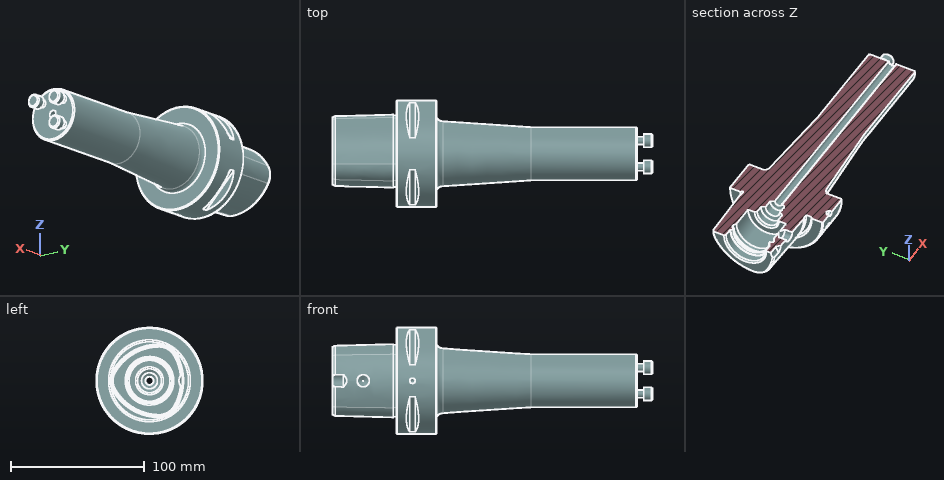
import cadquery as cq
import math

TOTAL_LENGTH = 239.5

POLYGON_LENGTH = 45.5
LOBE_CENTER_RADIUS = 14.5
LOBE_TIP_RADIUS = 29.5
LOBE_COUNT = 3
LOBE_ARC_HALF_ANGLE = 30.0
POLYGON_TAPER = 1.5
POLYGON_CHAMFER_LENGTH = 2.0
POLYGON_CHAMFER_DEPTH = 1.0
RELIEF_OFFSET = 0.5

FLANGE_X = 47.9
FLANGE_LENGTH = 30.2
FLANGE_RADIUS = 80.0 / 2
FLANGE_CHAMFER = 0.7
RECESS_RADIUS = 30.6
RECESS_DEPTH = 1.5
FLANGE_END_X = FLANGE_X + FLANGE_LENGTH
RECESS_FLOOR_X = FLANGE_X + RECESS_DEPTH

NECK_X = 82.4
NECK_RADIUS = 24.5
NECK_FILLET_RADIUS = 26.8
SHANK_X = 148.5
SHANK_RADIUS = 40.0 / 2
SHANK_END_X = 228.0
SHANK_CHAMFER = 1.0

BORE_MOUTH_RADIUS = 18.2
BORE_ENTRY_RADIUS = 17.0
BORE_STEP_X = 7.7
BORE_STEP_RADIUS = 16.5
BORE_LIP_RADIUS = 15.3
BORE_GROOVE_X = 10.5
BORE_GROOVE_RADIUS = 17.5
BORE_GROOVE_END_X = 13.2
BORE_GROOVE_CONE_LENGTH = 2.5
BORE_RADIUS = 32.0 / 2
BORE_DEPTH = 33.5
WELL_MOUTH_RADIUS = 20.8 / 2
WELL_RADIUS = 18.0 / 2
WELL_DEPTH = 7.2
PASSAGE_RADIUS = 12.0 / 2
PASSAGE_LENGTH = 7.2
COOLANT_RADIUS = 6.0 / 2
DRILL_TIP_ANGLE = 118.0

SLOT_X = 59.8
SLOT_COUNT = 4
SLOT_FIRST_ANGLE = 45.0
SLOT_FLOOR_RADIUS = 35.5
SLOT_FLOOR_WIDTH = 3.8
SLOT_WALL_ANGLE = 31.0

INDEX_HOLE_RADIUS = 4.0 / 2
INDEX_HOLE_DEPTH = 2.5
SIDE_HOLE_RADIUS = 9.0 / 2
SIDE_HOLE_X = 23.0
SIDE_HOLE_FLOOR_RADIUS = 18.7
KEYWAY_RADIUS = 12.0 / 2
KEYWAY_LENGTH = 8.1
KEYWAY_AXIS_RADIUS = 28.0
KEYWAY_TIP_ANGLE = 90.0

SCREW_OFFSET = 9.8
SCREW_CORNERS = [(1, 1), (-1, 1), (1, -1)]
SCREW_RADIUS = 6.0 / 2
SCREW_DEPTH = 9.5
SCREW_HEAD_RADIUS = 10.0 / 2
SCREW_HEAD_X = 232.7
SCREW_HEAD_CHAMFER = 1.0

CUT_MARGIN = 2.5


def drill_tip_length(radius, tip_angle):
    return radius / math.tan(math.radians(tip_angle / 2))


def polar(radius, degrees, center=(0, 0)):
    angle = math.radians(degrees)
    return (center[0] + radius * math.cos(angle), center[1] + radius * math.sin(angle))


def lobed_outline(x, tip_radius):
    """Rounded Reuleaux triangle in the plane at x, whose normal points toward -X."""
    lobe_radius = tip_radius - LOBE_CENTER_RADIUS
    flat_radius = LOBE_CENTER_RADIUS * (math.sqrt(3) - 1) + lobe_radius
    step = 360 / LOBE_COUNT

    def lobe_end(lobe, side):
        angle = lobe * step
        return polar(lobe_radius, angle + side * LOBE_ARC_HALF_ANGLE, polar(LOBE_CENTER_RADIUS, angle))

    outline = cq.Workplane(cq.Plane((x, 0, 0), xDir=(0, 1, 0), normal=(-1, 0, 0)))
    outline = outline.moveTo(*lobe_end(0, -1))
    for lobe in range(LOBE_COUNT):
        outline = outline.threePointArc(polar(tip_radius, lobe * step), lobe_end(lobe, 1))
        outline = outline.threePointArc(polar(flat_radius, (lobe + 0.5) * step), lobe_end(lobe + 1, -1))
    return outline.close()


def polygon_shank():
    taper = lobed_outline(POLYGON_LENGTH, LOBE_TIP_RADIUS).extrude(POLYGON_LENGTH, taper=POLYGON_TAPER)
    taper = taper.faces("<X").chamfer(POLYGON_CHAMFER_LENGTH, POLYGON_CHAMFER_DEPTH)
    relief = lobed_outline(RECESS_FLOOR_X, LOBE_TIP_RADIUS - RELIEF_OFFSET)
    return taper.union(relief.extrude(RECESS_FLOOR_X - POLYGON_LENGTH))


def revolve_about_x(profile):
    return profile.close().revolve(360, (0, 0, 0), (1, 0, 0))


def flange_and_shank():
    profile = (
        cq.Workplane("XY")
        .moveTo(RECESS_FLOOR_X, 0)
        .lineTo(SHANK_END_X, 0)
        .lineTo(SHANK_END_X, SHANK_RADIUS - SHANK_CHAMFER)
        .lineTo(SHANK_END_X - SHANK_CHAMFER, SHANK_RADIUS)
        .lineTo(SHANK_X, SHANK_RADIUS)
        .lineTo(NECK_X, NECK_RADIUS)
        .tangentArcPoint((FLANGE_END_X, NECK_FILLET_RADIUS), relative=False)
        .lineTo(FLANGE_END_X, FLANGE_RADIUS - FLANGE_CHAMFER)
        .lineTo(FLANGE_END_X - FLANGE_CHAMFER, FLANGE_RADIUS)
        .lineTo(FLANGE_X + FLANGE_CHAMFER, FLANGE_RADIUS)
        .lineTo(FLANGE_X, FLANGE_RADIUS - FLANGE_CHAMFER)
        .lineTo(FLANGE_X, RECESS_RADIUS)
        .lineTo(RECESS_FLOOR_X, RECESS_RADIUS - RECESS_DEPTH)
    )
    return revolve_about_x(profile)


def bore():
    groove_depth = BORE_GROOVE_RADIUS - BORE_LIP_RADIUS
    groove_wall_middle = polar(groove_depth, 135, (BORE_GROOVE_X + groove_depth, BORE_LIP_RADIUS))
    well_chamfer = WELL_MOUTH_RADIUS - WELL_RADIUS
    well_floor_x = BORE_DEPTH + WELL_DEPTH
    passage_x = well_floor_x + drill_tip_length(WELL_RADIUS - PASSAGE_RADIUS, DRILL_TIP_ANGLE)
    passage_end_x = passage_x + PASSAGE_LENGTH
    coolant_x = passage_end_x + drill_tip_length(PASSAGE_RADIUS - COOLANT_RADIUS, DRILL_TIP_ANGLE)
    profile = (
        cq.Workplane("XY")
        .lineTo(0, BORE_MOUTH_RADIUS)
        .lineTo(BORE_MOUTH_RADIUS - BORE_ENTRY_RADIUS, BORE_ENTRY_RADIUS)
        .lineTo(BORE_STEP_X, BORE_ENTRY_RADIUS)
        .lineTo(BORE_STEP_X, BORE_STEP_RADIUS)
        .lineTo(BORE_STEP_X + BORE_STEP_RADIUS - BORE_LIP_RADIUS, BORE_LIP_RADIUS)
        .lineTo(BORE_GROOVE_X, BORE_LIP_RADIUS)
        .threePointArc(groove_wall_middle, (BORE_GROOVE_X + groove_depth, BORE_GROOVE_RADIUS))
        .lineTo(BORE_GROOVE_END_X, BORE_GROOVE_RADIUS)
        .lineTo(BORE_GROOVE_END_X + BORE_GROOVE_CONE_LENGTH, BORE_RADIUS)
        .lineTo(BORE_DEPTH, BORE_RADIUS)
        .lineTo(BORE_DEPTH, WELL_MOUTH_RADIUS)
        .lineTo(BORE_DEPTH + well_chamfer, WELL_RADIUS)
        .lineTo(well_floor_x, WELL_RADIUS)
        .lineTo(passage_x, PASSAGE_RADIUS)
        .lineTo(passage_end_x, PASSAGE_RADIUS)
        .lineTo(coolant_x, COOLANT_RADIUS)
        .lineTo(SHANK_END_X, COOLANT_RADIUS)
        .lineTo(SHANK_END_X, 0)
    )
    return revolve_about_x(profile)


def gripper_slots():
    """Straight trapezoidal grooves tangent to a circle around the axis."""
    top_radius = FLANGE_RADIUS + CUT_MARGIN
    half_floor = SLOT_FLOOR_WIDTH / 2
    half_top = half_floor + (top_radius - SLOT_FLOOR_RADIUS) * math.tan(math.radians(SLOT_WALL_ANGLE))
    slot = (
        cq.Workplane("XZ")
        .moveTo(SLOT_X - half_floor, SLOT_FLOOR_RADIUS)
        .lineTo(SLOT_X + half_floor, SLOT_FLOOR_RADIUS)
        .lineTo(SLOT_X + half_top, top_radius)
        .lineTo(SLOT_X - half_top, top_radius)
        .close()
        .extrude(FLANGE_RADIUS, both=True)
    )
    for i in range(SLOT_COUNT):
        yield slot.rotate((0, 0, 0), (1, 0, 0), SLOT_FIRST_ANGLE + i * 360 / SLOT_COUNT)


def drilled_hole(radius, length, tip_angle=DRILL_TIP_ANGLE):
    """Hole along +X from x = 0, with a conical tip past its full-width length."""
    profile = (
        cq.Workplane("XY")
        .lineTo(0, radius)
        .lineTo(length, radius)
        .lineTo(length + drill_tip_length(radius, tip_angle), 0)
    )
    return revolve_about_x(profile)


def side_hole(x, radius, floor_radius):
    """Hole entering from -Y toward the tool axis."""
    mouth_radius = FLANGE_RADIUS + CUT_MARGIN
    hole = drilled_hole(radius, mouth_radius - floor_radius)
    return hole.rotate((0, 0, 0), (0, 0, 1), 90).translate((x, -mouth_radius, 0))


def cylinder_along_x(radius, start, end, corner):
    y_side, z_side = corner
    center = (start, y_side * SCREW_OFFSET, z_side * SCREW_OFFSET)
    return cq.Workplane("YZ", origin=center).circle(radius).extrude(end - start)


def make_holder():
    body = polygon_shank().union(flange_and_shank()).cut(bore())
    for slot in gripper_slots():
        body = body.cut(slot)
    body = body.cut(side_hole(SIDE_HOLE_X, SIDE_HOLE_RADIUS, SIDE_HOLE_FLOOR_RADIUS))
    body = body.cut(side_hole(SLOT_X, INDEX_HOLE_RADIUS, FLANGE_RADIUS - INDEX_HOLE_DEPTH))
    keyway = drilled_hole(KEYWAY_RADIUS, KEYWAY_LENGTH, KEYWAY_TIP_ANGLE)
    body = body.cut(keyway.translate((0, -KEYWAY_AXIS_RADIUS, 0)))
    for corner in SCREW_CORNERS:
        body = body.cut(cylinder_along_x(SCREW_RADIUS, SHANK_END_X - SCREW_DEPTH, SHANK_END_X, corner))
    return body


def make_screw(corner):
    stem = cylinder_along_x(SCREW_RADIUS, SHANK_END_X - SCREW_DEPTH, SCREW_HEAD_X, corner)
    head = cylinder_along_x(SCREW_HEAD_RADIUS, SCREW_HEAD_X, TOTAL_LENGTH, corner)
    return stem.union(head.faces(">X").chamfer(SCREW_HEAD_CHAMFER))


holder = make_holder()
screws = [make_screw(corner) for corner in SCREW_CORNERS]

result = cq.Compound.makeCompound([holder.val(), *[screw.val() for screw in screws]])